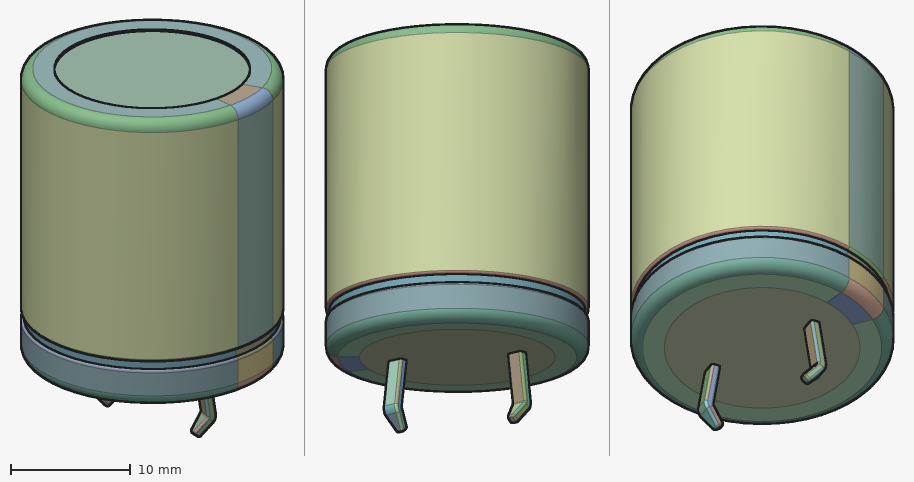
import cadquery as cq
import math

total_height = 32.15
can_height = 26.03
can_diameter = 21.98
can_radius = can_diameter / 2
rim_radius = 1.0

groove_floor_bottom = 3.35
groove_floor_top = 4.05
groove_depth = 0.25

recess_diameter = 16.35
recess_radius = recess_diameter / 2
recess_depth = 0.15

stripe_angle = 26.0

pin_offset = 5.1
pin_width = 1.5
pin_thickness = 0.85
pin_edge_radius = 0.22
pin_side_angle = 27.0
pin_root = 0.65
pin_length = total_height - can_height
lean_angle = 8.7
return_angle = 40.0
bend_drop = 4.1
bend_inner_radius = 0.13
tip_width = 0.7
tip_edge_radius = 0.2


def sleeve_sector(start_angle, sweep_angle):
    """Sector of the sleeve between two planes through the can axis."""
    arc_middle = math.sqrt(0.5)
    rim_inner = can_radius - rim_radius
    rim_mid = rim_inner + rim_radius * arc_middle
    rim_drop = rim_radius * (1 - arc_middle)
    floor_radius = can_radius - groove_depth
    lip_mid = floor_radius + groove_depth * arc_middle
    lip_rise = groove_depth * (1 - arc_middle)
    return (
        cq.Workplane("XZ")
        .moveTo(recess_radius, 0)
        .lineTo(rim_inner, 0)
        .threePointArc((rim_mid, rim_drop), (can_radius, rim_radius))
        .lineTo(can_radius, groove_floor_bottom - groove_depth)
        .threePointArc((lip_mid, groove_floor_bottom - lip_rise), (floor_radius, groove_floor_bottom))
        .lineTo(floor_radius, groove_floor_top)
        .threePointArc((lip_mid, groove_floor_top + lip_rise), (can_radius, groove_floor_top + groove_depth))
        .lineTo(can_radius, can_height - rim_radius)
        .threePointArc((rim_mid, can_height - rim_drop), (rim_inner, can_height))
        .lineTo(recess_radius, can_height)
        .close()
        .revolve(sweep_angle, (0, 0, 0), (0, 1, 0))
        .rotate((0, 0, 0), (0, 0, 1), start_angle)
    )


def rotate_y(shape, angle, x=0.0):
    """Turn a shape about a line along Y through (x, 0, 0)."""
    return shape.rotate((x, 0, 0), (x, 1, 0), angle)


def strip_section(width, height):
    """Cross-section of the pin with rounded corners, at the given height."""
    return (
        cq.Sketch()
        .rect(pin_thickness, width)
        .vertices()
        .fillet(pin_edge_radius)
        .moved(cq.Location(cq.Vector(0, 0, height)))
    )


def pin():
    """Pin on the -X side, made upright with the start of its bend at the origin."""
    lean = math.radians(lean_angle)
    back = math.radians(return_angle)
    bend_radius = bend_inner_radius + pin_thickness / 2
    straight_length = bend_drop / math.cos(lean)

    bend_height = bend_radius * (math.sin(lean) + math.sin(back))
    tip_inset = (pin_thickness / 2 - tip_edge_radius) * math.sin(back)
    tip_overhang = tip_inset + tip_edge_radius * (1 - math.cos(back))
    taper_length = (pin_length - bend_drop - bend_height - tip_overhang) / math.cos(back)

    straight = (
        cq.Workplane("XY")
        .placeSketch(strip_section(pin_width, 0))
        .extrude(straight_length + pin_root)
    )
    bend = (
        cq.Workplane("XY")
        .placeSketch(strip_section(pin_width, 0))
        .revolve(lean_angle + return_angle, (-bend_radius, 0, 0), (-bend_radius, 1, 0))
    )
    taper = (
        cq.Workplane("XY")
        .placeSketch(strip_section(pin_width, 0), strip_section(tip_width, -taper_length))
        .loft()
        .faces("<Z").edges().fillet(tip_edge_radius)
    )
    taper = rotate_y(taper, lean_angle + return_angle, -bend_radius)
    strip = rotate_y(straight.union(bend).union(taper), -lean_angle)
    return (
        strip.translate((bend_drop * math.tan(lean), 0, -bend_drop))
        .rotate((0, 0, 0), (0, 0, 1), -90 - pin_side_angle)
        .translate((-pin_offset, 0, 0))
    )


core = cq.Workplane("XY").circle(recess_radius).extrude(can_height - recess_depth)
stripe = sleeve_sector(-stripe_angle / 2, stripe_angle)
sleeve = sleeve_sector(stripe_angle / 2, 360 - stripe_angle)
left_pin = pin()
right_pin = left_pin.rotate((0, 0, 0), (0, 0, 1), 180)

result = core
for piece in (sleeve, stripe, left_pin, right_pin):
    result = result.union(piece, clean=False)